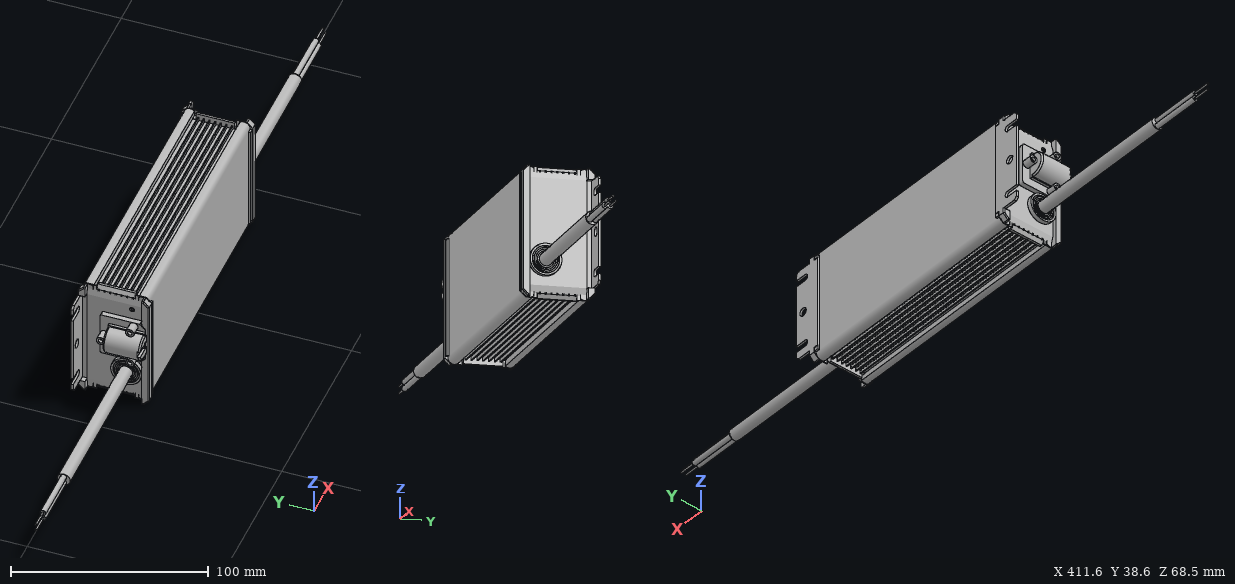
import cadquery as cq
import math

total_length = 411.6
total_depth = 38.6
total_height = 68.51
half_depth = total_depth / 2
half_height = total_height / 2

plate_thickness = 1.4
body_half_depth = half_depth - plate_thickness
body_half_length = 73.0
bead_radius = 3.4
bead_y = body_half_depth - bead_radius
bead_z = half_height - bead_radius
channel_half_depth = 12.25
fin_count = 7
fin_pitch = 2 * channel_half_depth / (fin_count + 1)
fin_thickness = 0.6
fin_tip_z = 32.2
fin_root_z = 30.2
fin_embed = 1.0

cap_outer_x = 76.6
cap_rim_inner_x = 72.4
cap_skirt_inner_x = 69.8
cap_corner = 3.0
cap_edge_chamfer = 0.6
skirt_half_height = 30.5
skirt_inset = 0.3
recess_depth = 2.6
recess_face_x = cap_outer_x - recess_depth
recess_half_depth = 15.3
back_notch_depth = 3.2
fin_cover_half_depth = 10.4
bevel_start_z = 28.1
bevel_end_z = 32.0
bevel_drop = 1.2
edge_drop = 2.8

bracket_outer_x = 86.5
bracket_half_height = 28.3
bracket_corner = 1.7
slot_width = 3.7
slot_z = 21.2
slot_end_x = 77.6
bracket_hole_diameter = 4.8
bracket_hole_x = 81.1

cable_y = -6.9
cable_z = -14.8
cable_diameter = 7.1
cable_end_x = 166.0
gland_diameter = 16.6
groove_width = 0.9
groove_depth = 0.8
groove_diameters = (14.2, 10.6)
insulation_end_x = 195.8
conductor_end_x = total_length / 2
insulation_diameter = 3.2
conductor_diameter = 1.2
wire_overlap = 2.0
pair_offset = 1.75
triple_offset = 1.7

base_step = 0.3
base_outer_x = cap_outer_x + base_step
base_y_min, base_y_max = -17.5, 7.1
base_z_min, base_z_max = -5.9, 19.3
base_front_chamfer = 3.0
base_back_fillet = 1.2
slotted_cap_radius = 7.2
slotted_cap_z = 7.0
slotted_cap_y_min, slotted_cap_y_max = -18.0, 2.2
slotted_cap_x = -bracket_outer_x + slotted_cap_radius
slotted_cap_chamfer = 0.9
coin_slot_width = 3.4
coin_slot_depth = 1.5
seat_outer_x = 78.4
seat_half_height = 7.9
screw_diameter = 4.6
screw_bore_diameter = 2.4
screw_bore_depth = 2.0
screw_places = [(-11.2, 17.0), (-11.2, -3.1), (4.6, 7.0)]
screw_outer_x = 82.6

ring_diameter = 2.6
ring_core_diameter = 1.2
ring_depth = 2.0
ring_y = -9.2
ring_z = 25.2


def box(x_min, x_max, y_min, y_max, z_min, z_max):
    size = (x_max - x_min, y_max - y_min, z_max - z_min)
    return cq.Workplane("XY").box(*size, centered=False).translate((x_min, y_min, z_min))


def rod(diameter, x_min, x_max, y, z):
    disc = cq.Workplane("YZ", origin=(x_min, 0, 0)).center(y, z).circle(diameter / 2)
    return disc.extrude(x_max - x_min)


def centered_prism(outline_xz, prism_half_depth):
    prism = cq.Workplane("XZ").polyline(outline_xz).close()
    return prism.extrude(prism_half_depth, both=True)


def make_body():
    length = 2 * body_half_length
    body = box(-body_half_length, body_half_length,
               -body_half_depth, body_half_depth, -bead_z, bead_z)
    for side in (1, -1):
        for y in (-bead_y, bead_y):
            body = body.union(rod(2 * bead_radius, -body_half_length, body_half_length, y, side * bead_z))
        channel_z = sorted((side * fin_root_z, side * half_height))
        channel = box(-body_half_length, body_half_length,
                      -channel_half_depth, channel_half_depth, *channel_z)
        fin_height = fin_tip_z - fin_root_z + fin_embed
        fins = (
            cq.Workplane("XY")
            .rarray(1, fin_pitch, 1, fin_count)
            .box(length, fin_thickness, fin_height)
            .translate((0, 0, side * (fin_tip_z - fin_height / 2)))
        )
        body = body.cut(channel).union(fins)
    return body


def make_cap():
    """End cap of the +X end."""
    rim = (
        box(cap_rim_inner_x, cap_outer_x, -half_depth, half_depth, -half_height, half_height)
        .edges("|X").chamfer(cap_corner)
        .faces(">X").edges().chamfer(cap_edge_chamfer)
    )
    hollow = box(recess_face_x, cap_outer_x, -recess_half_depth, recess_half_depth,
                 -half_height, half_height)
    skirt_half_depth = half_depth - skirt_inset
    skirt = box(cap_skirt_inner_x, recess_face_x, -skirt_half_depth, skirt_half_depth,
                -skirt_half_height, skirt_half_height)
    fin_cover = box(cap_skirt_inner_x, recess_face_x, -fin_cover_half_depth, fin_cover_half_depth,
                    -half_height, half_height)
    cap = rim.cut(hollow).union(skirt).union(fin_cover)
    cap = cap.cut(box(cap_outer_x - back_notch_depth, cap_outer_x, recess_half_depth, body_half_depth,
                      -bracket_half_height, bracket_half_height))
    bevel_x = recess_face_x - bevel_drop
    for side in (1, -1):
        bevel = [
            (recess_face_x, side * bevel_start_z),
            (recess_face_x, side * half_height),
            (bevel_x, side * half_height),
            (bevel_x, side * bevel_end_z),
        ]
        edge_slope = [
            (bevel_x, side * bevel_end_z),
            (bevel_x, side * half_height),
            (recess_face_x - edge_drop, side * half_height),
        ]
        cap = cap.cut(centered_prism(bevel, recess_half_depth))
        cap = cap.cut(centered_prism(edge_slope, fin_cover_half_depth))
    return cap


def make_bracket():
    """Mounting bracket of the +X end, with two open slots and a round hole."""
    bracket = (
        box(cap_skirt_inner_x, bracket_outer_x, body_half_depth, half_depth,
            -bracket_half_height, bracket_half_height)
        .edges("|Y and >X").chamfer(bracket_corner)
    )
    through = cq.Workplane("XZ", origin=(0, half_depth, 0))
    slot_length = 2 * (bracket_outer_x - slot_end_x)
    slots = (
        through.pushPoints([(bracket_outer_x, slot_z), (bracket_outer_x, -slot_z)])
        .slot2D(slot_length, slot_width)
        .extrude(plate_thickness)
    )
    hole = through.center(bracket_hole_x, 0).circle(bracket_hole_diameter / 2).extrude(plate_thickness)
    return bracket.cut(slots).cut(hole)


def make_cable(wire_offsets):
    """Cable of the +X end, with its gland and stripped wires."""
    cable = rod(cable_diameter, recess_face_x, cable_end_x, cable_y, cable_z)
    cable = cable.union(rod(gland_diameter, cap_rim_inner_x, cap_outer_x, cable_y, cable_z))
    for diameter in groove_diameters:
        groove = rod(diameter, cap_outer_x - groove_depth, cap_outer_x, cable_y, cable_z)
        groove = groove.cut(
            rod(diameter - 2 * groove_width, cap_outer_x - groove_depth, cap_outer_x, cable_y, cable_z))
        cable = cable.cut(groove)
    for offset_y, offset_z in wire_offsets:
        wire_y = cable_y + offset_y
        wire_z = cable_z + offset_z
        cable = cable.union(
            rod(insulation_diameter, cable_end_x - wire_overlap, insulation_end_x, wire_y, wire_z))
        cable = cable.union(
            rod(conductor_diameter, insulation_end_x - wire_overlap, conductor_end_x, wire_y, wire_z))
    return cable


def make_connector():
    base = (
        box(-base_outer_x, -cap_rim_inner_x, base_y_min, base_y_max, base_z_min, base_z_max)
        .edges("|X and <Y").chamfer(base_front_chamfer)
        .edges("|X and >Y").fillet(base_back_fillet)
    )
    seat = box(-seat_outer_x, -cap_outer_x, base_y_min, slotted_cap_y_max,
               slotted_cap_z - seat_half_height, slotted_cap_z + seat_half_height)
    slotted_cap = (
        cq.Workplane("XZ", origin=(0, slotted_cap_y_max, 0))
        .center(slotted_cap_x, slotted_cap_z)
        .circle(slotted_cap_radius)
        .extrude(slotted_cap_y_max - slotted_cap_y_min)
        .faces("|Y").edges().chamfer(slotted_cap_chamfer)
    )
    coin_slot = box(-bracket_outer_x, slotted_cap_x + slotted_cap_radius,
                    slotted_cap_y_min, slotted_cap_y_min + coin_slot_depth,
                    slotted_cap_z - coin_slot_width / 2, slotted_cap_z + coin_slot_width / 2)
    connector = base.union(seat).union(slotted_cap.cut(coin_slot))
    for y, z in screw_places:
        screw = rod(screw_diameter, -screw_outer_x, -cap_outer_x, y, z)
        bore = rod(screw_bore_diameter, -screw_outer_x, screw_bore_depth - screw_outer_x, y, z)
        connector = connector.union(screw).cut(bore)
    return connector


wire_pair = [(0, pair_offset), (0, -pair_offset)]
wire_triple = [
    (triple_offset * math.cos(math.radians(angle)), triple_offset * math.sin(math.radians(angle)))
    for angle in (90, 210, 330)
]

right_end = make_cap().union(make_bracket())
left_end = right_end.mirror("YZ")
ring = rod(ring_diameter, -recess_face_x, ring_depth - recess_face_x, ring_y, ring_z)
ring = ring.cut(rod(ring_core_diameter, -recess_face_x, ring_depth - recess_face_x, ring_y, ring_z))

result = (
    make_body()
    .union(right_end)
    .union(left_end)
    .cut(ring)
    .union(make_cable(wire_triple))
    .union(make_cable(wire_pair).mirror("YZ"))
    .union(make_connector())
)